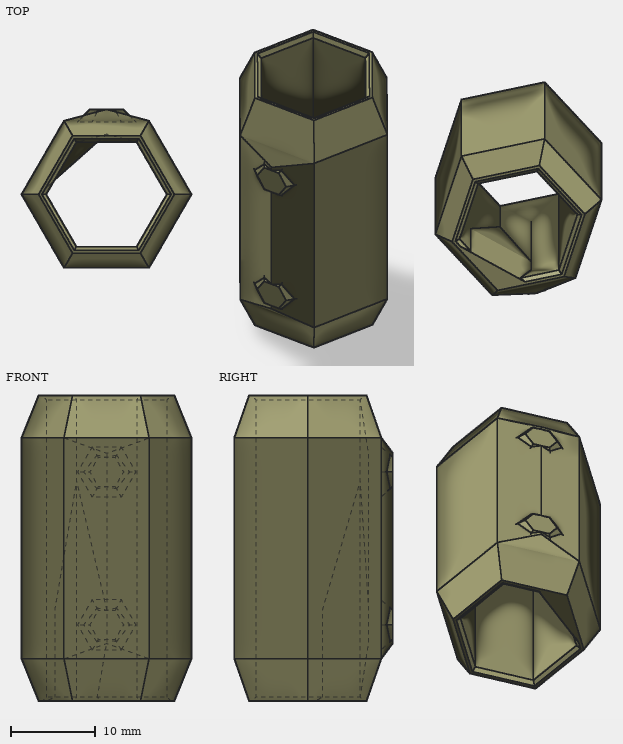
import cadquery as cq
import math

HEIGHT = 36.0
BODY_RADIUS = 10.0
TIP_RADIUS = 8.0
TAPER_HEIGHT = 5.0
COS_30 = math.cos(math.radians(30))
BODY_FLAT = BODY_RADIUS * COS_30

RIDGE_Y = BODY_RADIUS
RIDGE_END_HEIGHT = 1.8

BORE_RADIUS = 7.1
RIM_RADIUS = 7.6
RIM_DEPTH = 0.5
BORE_FLAT = BORE_RADIUS * COS_30

RECESS_Y = 7.13
RECESS_END_HEIGHT = 6.48

WEB_ANGLE = 41.6
WEB_SHOULDER_Z = 10.8
WEB_TOP_TILT = 6.1

STUD_TOP_RADIUS = 1.98
STUD_DEPTH = 1.45
STUD_BASE_RADIUS = STUD_TOP_RADIUS + STUD_DEPTH
STUD_SPACING = 18.0


def hex_prism(radius, z_bottom, z_top):
    """Hexagonal prism with corners on the X axis."""
    return cq.Workplane("XY").workplane(offset=z_bottom).polygon(6, 2 * radius).extrude(z_top - z_bottom)


def hex_frustum(radius_bottom, z_bottom, radius_top, z_top):
    """Hexagonal frustum with corners on the X axis."""
    return (
        cq.Workplane("XY")
        .workplane(offset=z_bottom)
        .polygon(6, 2 * radius_bottom)
        .workplane(offset=z_top - z_bottom)
        .polygon(6, 2 * radius_top)
        .loft(ruled=True)
    )


def gable(radius, flat_y, crest_y, z_start, end_height):
    """Triangular gable on the +Y flat of a hexagon, sloping back to the flat at both ends."""
    z_end = HEIGHT - z_start
    triangle = (
        cq.Workplane("XY")
        .polyline([(0, 0), (radius / 2, flat_y), (0, crest_y), (-radius / 2, flat_y)])
        .close()
        .extrude(HEIGHT)
    )
    side_profile = (
        cq.Workplane("YZ")
        .polyline(
            [
                (0, z_start),
                (flat_y, z_start),
                (crest_y, z_start + end_height),
                (crest_y, z_end - end_height),
                (flat_y, z_end),
                (0, z_end),
            ]
        )
        .close()
        .extrude(radius, both=True)
    )
    return triangle.intersect(side_profile)


def make_shell():
    """Outer shape: hexagonal body, tapered ends and the ridge."""
    body_top = HEIGHT - TAPER_HEIGHT
    shell = hex_prism(BODY_RADIUS, TAPER_HEIGHT, body_top)
    shell = shell.union(hex_frustum(TIP_RADIUS, 0, BODY_RADIUS, TAPER_HEIGHT))
    shell = shell.union(hex_frustum(BODY_RADIUS, body_top, TIP_RADIUS, HEIGHT))
    return shell.union(gable(BODY_RADIUS, BODY_FLAT, RIDGE_Y, TAPER_HEIGHT, RIDGE_END_HEIGHT))


def make_web():
    """Block beyond a vertical plane through the recess crest, under a steep sloping top."""
    angle = math.radians(WEB_ANGLE)
    reach = BORE_RADIUS
    back_z = WEB_SHOULDER_Z + reach / math.tan(math.radians(WEB_TOP_TILT))
    section_plane = cq.Plane(
        origin=(0, RECESS_Y, 0),
        xDir=(-math.sin(angle), math.cos(angle), 0),
        normal=(math.cos(angle), math.sin(angle), 0),
    )
    return (
        cq.Workplane(section_plane)
        .polyline([(0, 0), (reach, 0), (reach, back_z), (0, WEB_SHOULDER_Z)])
        .close()
        .extrude(2 * BODY_RADIUS, both=True)
    )


def make_cavity():
    """Bore with its recess and flared rims, less the web that stays standing in it."""
    cavity = hex_prism(BORE_RADIUS, 0, HEIGHT)
    cavity = cavity.union(gable(BORE_RADIUS, BORE_FLAT, RECESS_Y, RIM_DEPTH, RECESS_END_HEIGHT))
    cavity = cavity.union(hex_frustum(RIM_RADIUS, 0, BORE_RADIUS, RIM_DEPTH))
    cavity = cavity.union(hex_frustum(BORE_RADIUS, HEIGHT - RIM_DEPTH, RIM_RADIUS, HEIGHT))
    return cavity.cut(make_web())


def make_stud(z_center):
    """Hexagonal stud, flush with the ridge crest and widening toward the bore."""
    return (
        cq.Workplane("XZ", origin=(0, RIDGE_Y, z_center))
        .polygon(6, 2 * STUD_TOP_RADIUS)
        .workplane(offset=STUD_DEPTH)
        .polygon(6, 2 * STUD_BASE_RADIUS)
        .loft(ruled=True)
    )


housing = make_shell().cut(make_cavity())
studs = []
for side in (-1, 1):
    stud = make_stud(HEIGHT / 2 + side * STUD_SPACING / 2)
    housing = housing.cut(stud)
    studs.append(stud)

result = cq.Compound.makeCompound([housing.val(), *[stud.val() for stud in studs]])